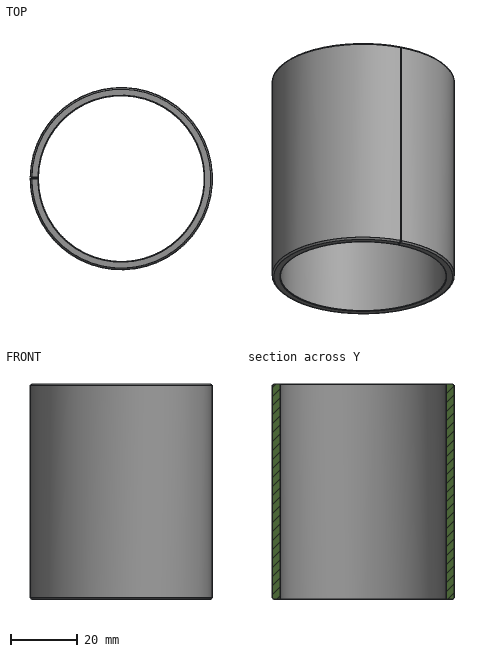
import cadquery as cq

length = 65.0
outer_diameter = 55.0
bore_diameter = 50.0
outer_chamfer = 0.5
bore_chamfer = 0.2
slit_angle = 0.9

outer_radius = outer_diameter / 2
bore_radius = bore_diameter / 2
half_length = length / 2

wall_section = [
    (-bore_radius - bore_chamfer, -half_length),
    (-outer_radius + outer_chamfer, -half_length),
    (-outer_radius, -half_length + outer_chamfer),
    (-outer_radius, half_length - outer_chamfer),
    (-outer_radius + outer_chamfer, half_length),
    (-bore_radius - bore_chamfer, half_length),
    (-bore_radius, half_length - bore_chamfer),
    (-bore_radius, -half_length + bore_chamfer),
]

result = (
    cq.Workplane("XZ")
    .polyline(wall_section)
    .close()
    .revolve(360 - slit_angle, (0, 0, 0), (0, 1, 0))
)